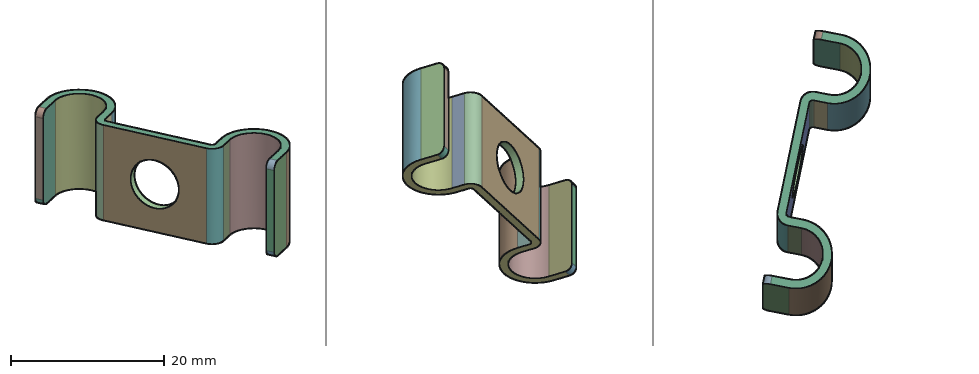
import cadquery as cq

length = 34.8
depth = 8.2
height = 14.0

thickness = 1.2
loop_outer_radius = 4.7
bend_inner_radius = 0.5
leg_corner_radius = 1.0
hole_diameter = 7.0

loop_inner_radius = loop_outer_radius - thickness
bend_outer_radius = bend_inner_radius + thickness
loop_x = length / 2 - loop_outer_radius
loop_y = depth - loop_outer_radius
wall_outer_x = loop_x - loop_outer_radius
bend_x = wall_outer_x - bend_inner_radius
bend_y = bend_outer_radius


def half_clip():
    """Half of the bent strip, from the middle of the plate to the +X leg."""
    return (
        cq.Workplane("XY")
        .moveTo(0, 0)
        .lineTo(bend_x, 0)
        .radiusArc((bend_x + bend_outer_radius, bend_y), -bend_outer_radius)
        .lineTo(loop_x - loop_inner_radius, loop_y)
        .threePointArc((loop_x, loop_y + loop_inner_radius), (loop_x + loop_inner_radius, loop_y))
        .lineTo(loop_x + loop_inner_radius, 0)
        .lineTo(loop_x + loop_outer_radius, 0)
        .lineTo(loop_x + loop_outer_radius, loop_y)
        .threePointArc((loop_x, depth), (wall_outer_x, loop_y))
        .lineTo(wall_outer_x, bend_y)
        .radiusArc((bend_x, thickness), bend_inner_radius)
        .lineTo(0, thickness)
        .close()
        .extrude(height / 2, both=True)
    )


def round_leg_corners(half):
    """Round the upper and lower free corners of the leg."""
    leg_corners = cq.selectors.BoxSelector(
        (loop_x, -thickness / 2, -height),
        (length, thickness / 2, height),
    )
    return half.edges("|X").edges(leg_corners).fillet(leg_corner_radius)


def plate_hole():
    """Cutter for the round hole through the middle of the plate."""
    return cq.Workplane("XZ").circle(hole_diameter / 2).extrude(thickness * 2, both=True)


right_half = round_leg_corners(half_clip())
clip = right_half.union(right_half.mirror("YZ")).clean()
result = clip.cut(plate_hole())